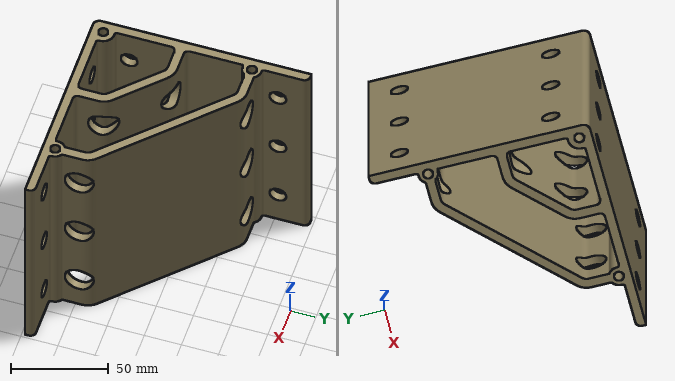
import cadquery as cq
import math

height = 120.0
leg = 116.5
wall = 5.0
corner_radius = 3.5
tip_radius = 3.0
root_radius = 2.5
bend_radius = 5.0
boss_root_radius = 1.2

outer_brace_reach = 89.0
outer_brace_sum = 115.0
inner_brace_reach = 50.2
inner_brace_sum = 72.1

screw_diameter = 5.0
boss_offset = 6.6
hole_pitch = 240.0 / 3
brace_boss_radius = 5.0
corner_boss_radius = 6.0

mount_diameter = 9.0
access_diameter = 15.0
mount_near = 20.0
mount_columns = [mount_near, mount_near + hole_pitch]
mount_heights = [height / 2 + row * hole_pitch / 2 for row in (-1, 0, 1)]
access_start = 24.0

boss_far = boss_offset + hole_pitch
brace_bosses = [(boss_offset, boss_far), (boss_far, boss_offset)]


def prism(points):
    return cq.Workplane("XY").polyline(points).close().extrude(height)


def fillet_uprights(body, points, radius):
    """Round the vertical edges that stand at the given plan points."""
    reach = 0.1
    for x, y in points:
        picker = cq.selectors.BoxSelector(
            (x - reach, y - reach, 0), (x + reach, y + reach, height)
        )
        body = body.edges("|Z").edges(picker).fillet(radius)
    return body


def brace_region(start, reach, diagonal_sum, radius):
    """Square with one corner cut off at 45 degrees and its two bends rounded."""
    bends = [(reach, diagonal_sum - reach), (diagonal_sum - reach, reach)]
    points = [(start, start), (reach, start), *bends, (start, reach)]
    return fillet_uprights(prism(points), bends, radius)


def brace_outside(reach, diagonal_sum):
    return brace_region(0, reach, diagonal_sum, bend_radius + wall)


def brace_inside(reach, diagonal_sum):
    return brace_region(wall, reach - wall, diagonal_sum - wall * math.sqrt(2), bend_radius)


def mirrored(points):
    return [(y, x) for x, y in points]


def posts(points, radius):
    return cq.Workplane("XY").pushPoints(points).circle(radius).extrude(height)


def mount_bores(columns, diameter, start, length):
    """Bores along Y and along X at every mounting row."""
    centers = [(column, z) for column in columns for z in mount_heights]
    along_y = (
        cq.Workplane("XZ", origin=(0, start, 0))
        .pushPoints(centers).circle(diameter / 2).extrude(-length)
    )
    along_x = (
        cq.Workplane("YZ", origin=(start, 0, 0))
        .pushPoints(centers).circle(diameter / 2).extrude(length)
    )
    return along_y.union(along_x)


wall_blank = prism([(0, 0), (leg, 0), (leg, wall), (wall, wall), (wall, leg), (0, leg)])
walls = fillet_uprights(wall_blank, [(0, 0)], corner_radius)
walls = fillet_uprights(walls, [(leg, wall), (wall, leg)], tip_radius)

outer_brace = brace_outside(outer_brace_reach, outer_brace_sum).cut(
    brace_inside(outer_brace_reach, outer_brace_sum)
)
inner_brace = brace_outside(inner_brace_reach, inner_brace_sum).cut(
    brace_inside(inner_brace_reach, inner_brace_sum)
)
braces = outer_brace.union(inner_brace).cut(wall_blank)
body = walls.union(braces)

brace_roots = [(inner_brace_reach, wall), (inner_brace_reach - wall, wall)]
body = fillet_uprights(body, brace_roots + mirrored(brace_roots), root_radius)

body = body.union(posts(brace_bosses, brace_boss_radius))
body = body.union(posts([(boss_offset, boss_offset)], corner_boss_radius))


def boss_reach(radius, distance):
    """Half width of a boss along a flat face at the given distance from its axis."""
    return math.sqrt(radius ** 2 - distance ** 2)


brace_half = boss_reach(brace_boss_radius, boss_offset - wall)
boss_roots = [
    (boss_far - brace_half, wall),
    (boss_far + brace_half, wall),
    (boss_offset + boss_reach(corner_boss_radius, boss_offset - wall), wall),
]
for face in (outer_brace_reach - wall, outer_brace_reach):
    boss_roots.append((face, boss_offset + boss_reach(brace_boss_radius, face - boss_far)))
body = fillet_uprights(body, boss_roots + mirrored(boss_roots), boss_root_radius)

screw_holes = posts([(boss_offset, boss_offset), *brace_bosses], screw_diameter / 2)
mount_holes = mount_bores(mount_columns, mount_diameter, 0, wall)
access_holes = mount_bores([mount_near], access_diameter, access_start, leg - access_start)

result = body.cut(screw_holes).cut(mount_holes).cut(access_holes)